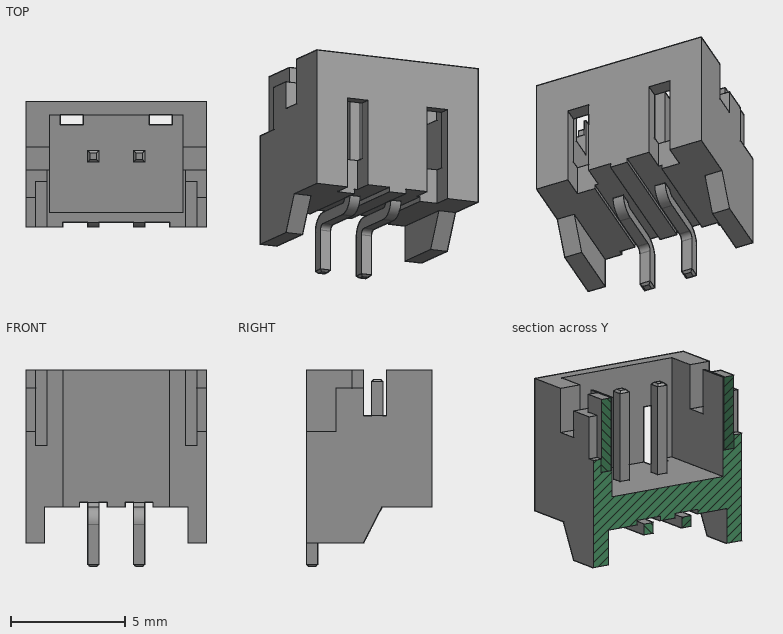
import cadquery as cq


total_height = 8.6
width = 7.9
depth = 5.5

body_height = 6.0
leg_drop = 1.57
leg_width = 0.82
leg_foot_depth = 2.5
leg_root_depth = 3.3
cavity_width = 5.86
cavity_depth = 4.5
front_wall = 0.64
back_wall = 0.59

front_recess_margin = 1.62
front_recess_depth = 0.215

side_notch_width = 1.0
side_notch_depth = 2.0

step_width = 0.93
upper_step_drop = 0.8
lower_step_drop = 2.7
lower_step_depth = 1.31

window_width = 1.0
window_margin = 1.505
window_drop = 2.0
window_floor_reach = 0.42

clip_thickness = 0.5
clip_length = 2.0
clip_height = 3.3

pin_pitch = 2.0
pin_width = 0.5
pin_thickness = 0.51
pin_front = 2.85
pin_top_drop = 0.41
pin_bend_radius = 0.24
pin_tip_chamfer = 0.1

groove_width = 1.2
groove_height = 0.21

body_bottom = total_height - body_height
leg_bottom = body_bottom - leg_drop
pin_top = total_height - pin_top_drop
cavity_length = depth - front_wall - back_wall
clip_outer_x = width / 2 - step_width + clip_thickness
window_x = width / 2 - window_margin - window_width / 2
pin_places = (-pin_pitch / 2, pin_pitch / 2)
sides = (-1, 1)


def block(x_center, x_size, y_min, y_max, z_min, z_max):
    """Box centred at x_center along X and spanning the given Y and Z ranges."""
    return (
        cq.Workplane("XY")
        .box(x_size, y_max - y_min, z_max - z_min, centered=(True, False, False))
        .translate((x_center, y_min, z_min))
    )


def make_clip(side):
    """Flat upright clip whose inner face lies on the step's inner wall."""
    x_center = side * (clip_outer_x - clip_thickness / 2)
    return block(x_center, clip_thickness, 0, clip_length, total_height - clip_height, total_height)


def make_pin(x_center):
    """Rectangular pin: upright contact, bend towards the front under the floor, and tail."""
    inner = pin_bend_radius
    outer = pin_bend_radius + pin_thickness
    pin_back = pin_front + pin_thickness
    run_top = body_bottom
    run_bottom = run_top - pin_thickness
    pin = (
        cq.Workplane("YZ")
        .moveTo(0, 0)
        .lineTo(0, run_top - outer)
        .radiusArc((outer, run_top), outer)
        .lineTo(pin_front - inner, run_top)
        .radiusArc((pin_front, run_top + inner), -inner)
        .lineTo(pin_front, pin_top)
        .lineTo(pin_back, pin_top)
        .lineTo(pin_back, run_bottom + outer)
        .radiusArc((pin_back - outer, run_bottom), outer)
        .lineTo(outer, run_bottom)
        .radiusArc((pin_thickness, run_bottom - inner), -inner)
        .lineTo(pin_thickness, 0)
        .close()
        .extrude(pin_width / 2, both=True)
        .translate((x_center, 0, 0))
    )
    return pin.faces(">Z or <Z").chamfer(pin_tip_chamfer)


def make_shell():
    """Outer block with two side legs, open between the legs and hollow from the top."""
    shell = (
        cq.Workplane("YZ")
        .polyline([
            (0, leg_bottom),
            (leg_foot_depth, leg_bottom),
            (leg_root_depth, body_bottom),
            (depth, body_bottom),
            (depth, total_height),
            (0, total_height),
        ])
        .close()
        .extrude(width / 2, both=True)
    )
    leg_gap = block(0, width - 2 * leg_width, 0, depth, leg_bottom, body_bottom)
    cavity = block(
        0, cavity_width,
        front_wall, front_wall + cavity_length,
        total_height - cavity_depth, total_height,
    )
    return shell.cut(leg_gap).cut(cavity)


def cut_front_recess(housing):
    """Shallow full-height recess in the middle of the front wall."""
    recess_width = width - 2 * front_recess_margin
    return housing.cut(block(0, recess_width, 0, front_recess_depth, body_bottom, total_height))


def cut_side_notches(housing):
    """Open-topped notch through both side walls."""
    notch_back = leg_foot_depth + side_notch_width
    notch_bottom = total_height - side_notch_depth
    return housing.cut(block(0, width, leg_foot_depth, notch_back, notch_bottom, total_height))


def cut_corner_steps(housing, side):
    """Two-level step in the upper front corner of one side wall."""
    x_center = side * (width - step_width) / 2
    upper = block(x_center, step_width, 0, leg_foot_depth, total_height - upper_step_drop, total_height)
    lower = block(x_center, step_width, 0, lower_step_depth, total_height - lower_step_drop, total_height)
    return housing.cut(upper).cut(lower)


def cut_back_window(housing, side):
    """Window low in the back wall that also opens the rear edge of the floor."""
    window_front = depth - back_wall - window_floor_reach
    window_top = total_height - window_drop
    return housing.cut(block(side * window_x, window_width, window_front, depth, body_bottom, window_top))


def cut_pin_groove(housing, x_center):
    """Groove along the underside of the floor that clears the bend of a pin."""
    return housing.cut(block(x_center, groove_width, 0, depth, body_bottom, body_bottom + groove_height))


clips = [make_clip(side) for side in sides]
pins = [make_pin(x_center) for x_center in pin_places]

housing = cut_front_recess(make_shell())
housing = cut_side_notches(housing)
for side in sides:
    housing = cut_corner_steps(housing, side)
    housing = cut_back_window(housing, side)
for x_center in pin_places:
    housing = cut_pin_groove(housing, x_center)

for insert in clips + pins:
    housing = housing.cut(insert)

result = cq.Compound.makeCompound([
    housing.val(),
    *[clip.val() for clip in clips],
    *[pin.val() for pin in pins],
])